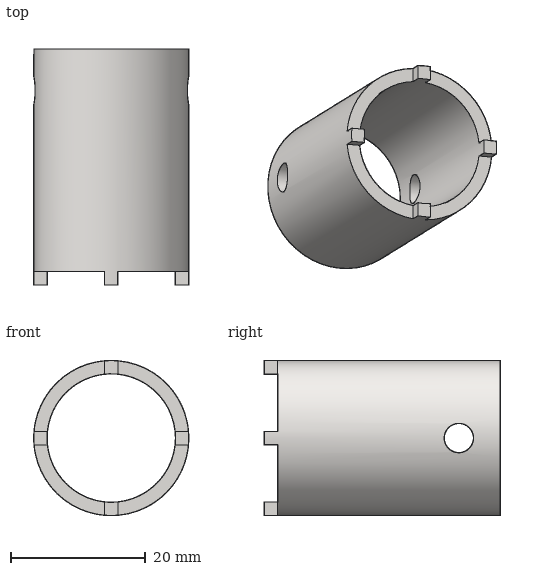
import cadquery as cq

outer_diameter = 23.0
inner_diameter = 19.0
total_length = 35.0
tooth_length = 2.0
tooth_width = 2.0
tooth_count = 4
cross_hole_diameter = 4.3
cross_hole_from_rear = 6.15

body_length = total_length - tooth_length
cross_hole_y = total_length - cross_hole_from_rear
tooth_mid_radius = (outer_diameter + inner_diameter) / 4


def tube(start_y, length):
    """Round tube wall along +Y, beginning at start_y."""
    return (
        cq.Workplane("XZ", origin=(0, start_y, 0))
        .circle(outer_diameter / 2)
        .circle(inner_diameter / 2)
        .extrude(-length)
    )


def teeth():
    """Parallel-sided drive teeth, cut from the tube wall at the front end."""
    radial_size = outer_diameter - inner_diameter
    blocks = (
        cq.Workplane("XZ")
        .polarArray(tooth_mid_radius, 0, 360, tooth_count)
        .rect(radial_size, tooth_width)
        .extrude(-tooth_length)
    )
    return tube(0, tooth_length).intersect(blocks)


def cross_hole():
    """Bar hole along X, through both sides of the wall."""
    return (
        cq.Workplane("YZ")
        .center(cross_hole_y, 0)
        .circle(cross_hole_diameter / 2)
        .extrude(outer_diameter, both=True)
    )


body = tube(tooth_length, body_length)
result = body.union(teeth()).cut(cross_hole())